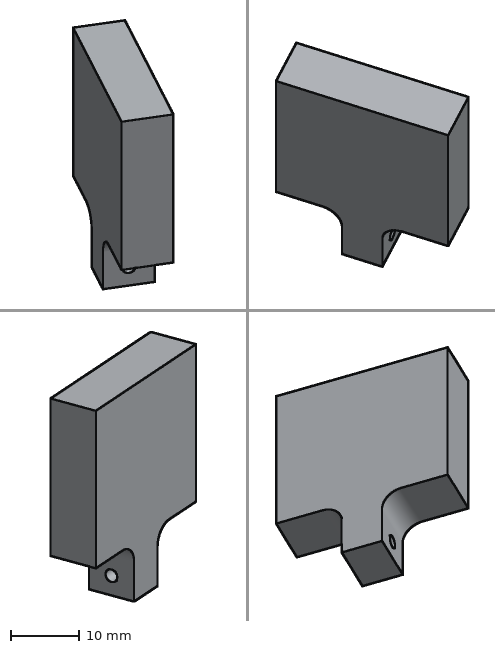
import cadquery as cq

width = 27.17
thickness = 7.85
total_height = 34.92
tab_width = 6.4
tab_height = 9.5
fillet_radius = 3.1

hole_diameter = 2.03
hole_height = (tab_height - fillet_radius) / 2

plate_height = total_height - tab_height


def make_block(block_width, height, bottom):
    """Box centred in X and Y, standing on the given Z level."""
    return (
        cq.Workplane("XY", origin=(0, 0, bottom))
        .box(block_width, thickness, height, centered=(True, True, False))
    )


plate = make_block(width, plate_height, tab_height)
tab = make_block(tab_width, tab_height, 0)
body = plate.union(tab)

for side in (-1, 1):
    corner = (side * tab_width / 2, 0, tab_height)
    body = body.edges(cq.NearestToPointSelector(corner)).fillet(fillet_radius)

hole = (
    cq.Workplane("YZ", origin=(0, 0, hole_height))
    .circle(hole_diameter / 2)
    .extrude(tab_width, both=True)
)

result = body.cut(hole)